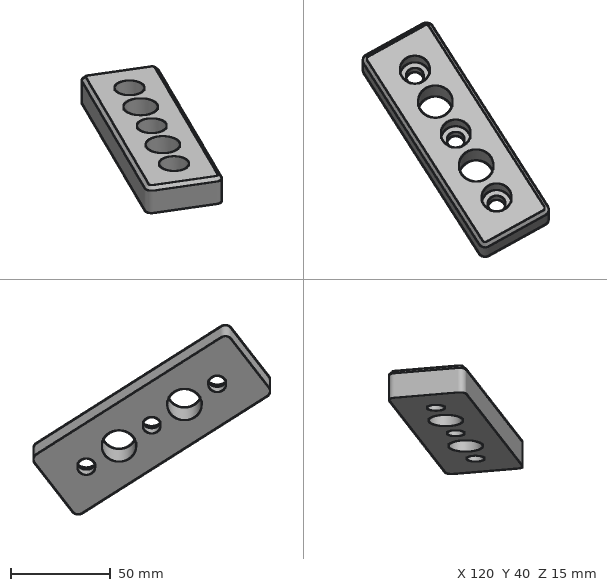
import cadquery as cq

length = 120.0
width = length / 3
height = length / 8
corner_radius = 3.5
top_chamfer = 2.0

hole_pitch = length / 6
plain_diameter = 17.3
screw_diameter = 9.0
counterbore_diameter = 15.0
counterbore_depth = 9.0


def make_block():
    """Rounded rectangular block standing on Z = 0 with a chamfered top rim."""
    block = cq.Workplane("XY").box(length, width, height, centered=(True, True, False))
    return block.edges("|Z").fillet(corner_radius).faces(">Z").edges().chamfer(top_chamfer)


def drill_holes(block):
    """Alternate counterbored screw holes with plain through holes."""
    screw_points = [(position * hole_pitch, 0) for position in (-2, 0, 2)]
    plain_points = [(position * hole_pitch, 0) for position in (-1, 1)]
    top = block.faces(">Z").workplane(origin=(0, 0, height))
    drilled = top.pushPoints(screw_points).cboreHole(
        screw_diameter, counterbore_diameter, counterbore_depth
    )
    top = drilled.faces(">Z").workplane(origin=(0, 0, height))
    return top.pushPoints(plain_points).hole(plain_diameter)


result = drill_holes(make_block())